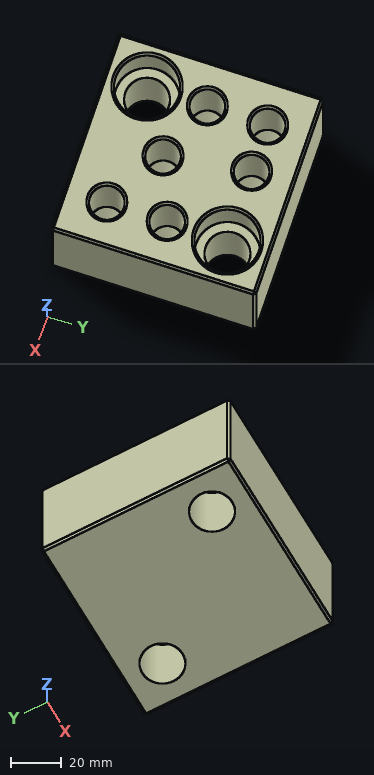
import cadquery as cq
import math

side = 85.0
height = 50.0
edge_chamfer = 1.0

grid = 25.0
upper_row_x = -5.0
lower_hole_y = -10.0
mouth_chamfer = 1.0

drill_diameter = 14.0
drill_depth = 30.0
drill_tip_angle = 118.0
drill_centers = [
    (-grid, grid),
    (upper_row_x, grid),
    (-grid, 0),
    (grid, 0),
    (0, lower_hole_y),
    (grid, -grid),
]

bolt_diameter = 18.0
counterbore_diameter = 26.0
counterbore_depth = 18.0
bolt_centers = [(-grid, -grid), (grid, grid)]


def revolved_cutter(profile):
    """Revolve (radius, z) points about the Z axis."""
    return cq.Workplane("XZ").polyline(profile).close().revolve(360, (0, 0), (0, 1))


def drill_cutter():
    radius = drill_diameter / 2
    floor = height - drill_depth
    tip_length = radius / math.tan(math.radians(drill_tip_angle / 2))
    return revolved_cutter([
        (0, height),
        (radius + mouth_chamfer, height),
        (radius, height - mouth_chamfer),
        (radius, floor),
        (0, floor - tip_length),
    ])


def bolt_cutter():
    radius = counterbore_diameter / 2
    floor = height - counterbore_depth
    return revolved_cutter([
        (0, height),
        (radius + mouth_chamfer, height),
        (radius, height - mouth_chamfer),
        (radius, floor),
        (bolt_diameter / 2, floor),
        (bolt_diameter / 2, 0),
        (0, 0),
    ])


block = cq.Workplane("XY").box(side, side, height, centered=(True, True, False))
result = block.edges().chamfer(edge_chamfer)

for x, y in drill_centers:
    result = result.cut(drill_cutter().translate((x, y, 0)))

for x, y in bolt_centers:
    result = result.cut(bolt_cutter().translate((x, y, 0)))